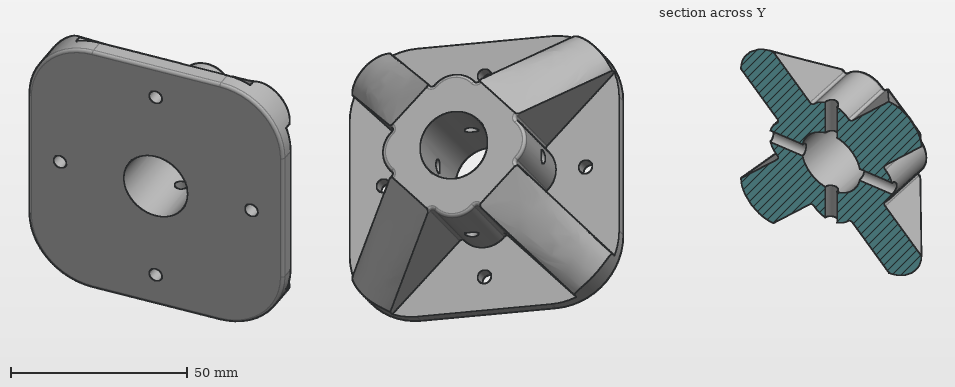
import cadquery as cq

side = 80.0
corner_radius = side / 4
plate_thickness = 5.0
edge_round = 1.0
total_depth = 35.0

bore_radius = 10.0
small_hole_radius = 2.0
screw_offset = 30.0

rib_width = 16.0
rib_top_reach = 18.5
rib_base_reach = 48.7
rib_base_crown_reach = 54.1

lobe_radius = 8.0
lobe_outer_reach = 21.3
lobe_centre = lobe_outer_reach - lobe_radius
lobe_blend_radius = edge_round

QUARTER_TURNS = [0, 90, 180, 270]
DIAGONAL = 45


def back_plane(y):
    """Sketch plane at depth y whose normal points along +Y."""
    return cq.Workplane(cq.Plane(origin=(0, y, 0), xDir=(1, 0, 0), normal=(0, 1, 0)))


def turned(shape, angle):
    return shape.rotate((0, 0, 0), (0, 1, 0), angle)


def rounded_block(depth):
    return back_plane(0).rect(side, side).extrude(depth).edges("|Y").fillet(corner_radius)


def make_rib():
    """Rib along +X: a crowned base outline ruled to a flat-ended top outline."""
    half = rib_width / 2
    base = (
        back_plane(plate_thickness)
        .moveTo(0, -half)
        .lineTo(rib_base_reach, -half)
        .threePointArc((rib_base_crown_reach, 0), (rib_base_reach, half))
        .lineTo(0, half)
        .close()
    )
    return (
        base.workplane(offset=total_depth - plate_thickness)
        .moveTo(0, -half)
        .lineTo(rib_top_reach, -half)
        .lineTo(rib_top_reach, half)
        .lineTo(0, half)
        .close()
        .loft(ruled=True)
    )


def make_lobe():
    return (
        back_plane(plate_thickness)
        .center(lobe_centre, 0)
        .circle(lobe_radius)
        .extrude(total_depth - plate_thickness)
    )


def lobe_joint_selector():
    """Box around the +X lobe that holds its two joints with the rib walls."""
    joint_depth = total_depth / 2
    return cq.selectors.BoxSelector(
        (lobe_centre, joint_depth - lobe_radius, -lobe_radius),
        (lobe_outer_reach, joint_depth + lobe_radius, lobe_radius),
    )


part = rounded_block(plate_thickness).faces("<Y").edges().fillet(edge_round)
outline = rounded_block(total_depth)
for angle in QUARTER_TURNS:
    part = part.union(turned(make_rib(), angle + DIAGONAL).intersect(outline))
for angle in QUARTER_TURNS:
    part = part.union(turned(make_lobe(), angle))

for angle in QUARTER_TURNS:
    part = turned(part, 90)
    part = part.edges(lobe_joint_selector()).fillet(lobe_blend_radius)
for angle in QUARTER_TURNS:
    part = turned(part, 90)
    part = part.faces(">Y").edges(">X").fillet(edge_round)

part = part.cut(back_plane(0).circle(bore_radius).extrude(total_depth))
part = part.cut(
    back_plane(0)
    .polarArray(screw_offset, 0, 360, len(QUARTER_TURNS))
    .circle(small_hole_radius)
    .extrude(plate_thickness)
)

cross_hole = (
    cq.Workplane("XY").center(0, total_depth / 2).circle(small_hole_radius).extrude(side / 2, both=True)
)
for angle in (0, 90):
    part = part.cut(turned(cross_hole, angle))

result = part